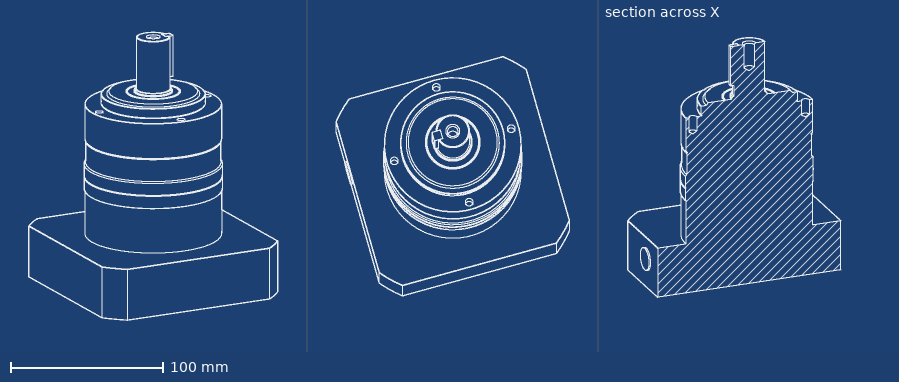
import cadquery as cq
import math

TOTAL_HEIGHT = 170.0
PLATE_TOP = 35.0
COLLAR_BOTTOM = 65.8
COLLAR_GROOVE = 74.5
COLLAR_TOP = 83.0
RING_BOTTOM = 84.0
RING_TOP = 99.0
HEAD_BOTTOM = 100.0
HEAD_TOP = 124.0
PILOT_TOP = 130.9
CAP_TOP = 132.6
SEAL_LIP_TOP = 134.5

PLATE_SIDE = 130.0
PLATE_CORNER_RADIUS = 83.6
PLATE_CHAMFER = 0.25

BODY_RADIUS = 45.0
COLLAR_RADIUS = 45.5
RING_RADIUS = 44.5
PILOT_RADIUS = 34.3
CAP_RADIUS = 30.6
CAP_TOP_RADIUS = 29.2
HEAD_CHAMFER = 0.25
HEAD_GROOVE_RADIUS = 44.0
COLLAR_CHAMFER = 0.3
COLLAR_GROOVE_DEPTH = 0.3
PILOT_CHAMFER = 0.3
PILOT_RELIEF = 0.5

SEAL_GROOVE_OUTER = 18.0
SEAL_GROOVE_INNER = 17.0
SEAL_GROOVE_DEPTH = 0.5
LIP_BASE_RADIUS = 12.8
LIP_BASE_HEIGHT = 0.7
LIP_BOTTOM_RADIUS = 12.2
LIP_TOP_RADIUS = 12.0

SHAFT_RADIUS = 11.0
SHAFT_CHAMFER_WIDTH = 0.7
SHAFT_CHAMFER_HEIGHT = 0.25
KEY_WIDTH = 6.0
KEY_OUTER = 13.5
KEY_INNER = 7.6
KEY_BOTTOM = 142.0
KEY_END_GAP = 0.2
KEY_CHAMFER = 0.3
CENTRE_HOLE_RADIUS = 3.4
CENTRE_SINK_RADIUS = 4.6
CENTRE_HOLE_DEPTH = 17.0

MOUNT_HOLE_COUNT = 4
MOUNT_HOLE_RADIUS = 2.5
MOUNT_CIRCLE_RADIUS = 40.0
MOUNT_HOLE_DEPTH = 10.2

PLUG_RADIUS = 7.6
PLUG_X = 20.0
PLUG_Z = 19.9
PLUG_PROTRUSION = 1.0

DRILL_HALF_ANGLE = math.radians(59)


def flange():
    """Square plate whose corners are turned to a round about the axis."""
    square = cq.Workplane("XY").rect(PLATE_SIDE, PLATE_SIDE).extrude(PLATE_TOP)
    turned = cq.Workplane("XY").circle(PLATE_CORNER_RADIUS).extrude(PLATE_TOP)
    return square.intersect(turned).faces(">Z").edges().chamfer(PLATE_CHAMFER)


def housing():
    """Turned housing, pilot, cap, seal and shaft as one revolved outline."""
    seal_groove_middle = (SEAL_GROOVE_OUTER + SEAL_GROOVE_INNER) / 2
    outline = [
        (0, 0),
        (BODY_RADIUS, 0),
        (BODY_RADIUS, COLLAR_BOTTOM - COLLAR_CHAMFER),
        (COLLAR_RADIUS, COLLAR_BOTTOM),
        (COLLAR_RADIUS, COLLAR_GROOVE - COLLAR_GROOVE_DEPTH),
        (COLLAR_RADIUS - COLLAR_GROOVE_DEPTH, COLLAR_GROOVE),
        (COLLAR_RADIUS, COLLAR_GROOVE + COLLAR_GROOVE_DEPTH),
        (COLLAR_RADIUS, COLLAR_TOP),
        (RING_RADIUS, RING_BOTTOM),
        (RING_RADIUS, RING_TOP),
        (HEAD_GROOVE_RADIUS, (RING_TOP + HEAD_BOTTOM) / 2),
        (BODY_RADIUS, HEAD_BOTTOM),
        (BODY_RADIUS, HEAD_TOP - HEAD_CHAMFER),
        (BODY_RADIUS - HEAD_CHAMFER, HEAD_TOP),
        (PILOT_RADIUS - PILOT_RELIEF, HEAD_TOP),
        (PILOT_RADIUS - PILOT_RELIEF, HEAD_TOP + PILOT_RELIEF),
        (PILOT_RADIUS, HEAD_TOP + PILOT_RELIEF),
        (PILOT_RADIUS, PILOT_TOP - PILOT_CHAMFER),
        (PILOT_RADIUS - PILOT_CHAMFER, PILOT_TOP),
        (CAP_RADIUS, PILOT_TOP),
        (CAP_TOP_RADIUS, CAP_TOP),
        (SEAL_GROOVE_OUTER, CAP_TOP),
        (seal_groove_middle, CAP_TOP - SEAL_GROOVE_DEPTH),
        (SEAL_GROOVE_INNER, CAP_TOP),
        (LIP_BASE_RADIUS, CAP_TOP),
        (LIP_BASE_RADIUS, CAP_TOP + LIP_BASE_HEIGHT),
        (LIP_BOTTOM_RADIUS, CAP_TOP + LIP_BASE_HEIGHT),
        (LIP_TOP_RADIUS, SEAL_LIP_TOP),
        (SHAFT_RADIUS, SEAL_LIP_TOP),
        (SHAFT_RADIUS, TOTAL_HEIGHT - SHAFT_CHAMFER_HEIGHT),
        (SHAFT_RADIUS - SHAFT_CHAMFER_WIDTH, TOTAL_HEIGHT),
        (0, TOTAL_HEIGHT),
    ]
    return cq.Workplane("XZ").polyline(outline).close().revolve(360, (0, 0, 0), (0, 1, 0))


def key_block():
    """Rectangular block filling the keyway on the +Y side, up to the shaft end."""
    length = TOTAL_HEIGHT - KEY_BOTTOM
    block = cq.Workplane("XY").box(
        KEY_WIDTH, KEY_OUTER - KEY_INNER, length, centered=(True, False, False)
    )
    return block.translate((0, KEY_INNER, KEY_BOTTOM))


def shaft_key():
    """Parallel key with broken outer edges, set just below the shaft end."""
    key = key_block().translate((0, 0, -KEY_END_GAP))
    return key.faces(">Y").edges("|Z or <Z").chamfer(KEY_CHAMFER)


def drilled_hole(radius, depth):
    """Blind hole downwards from the origin, ending in a drill point."""
    outline = [
        (0, 0),
        (radius, 0),
        (radius, -depth),
        (0, -depth - radius / math.tan(DRILL_HALF_ANGLE)),
    ]
    return cq.Workplane("XZ").polyline(outline).close().revolve(360, (0, 0, 0), (0, 1, 0))


def countersink():
    """45 degree conical mouth of the shaft's centre hole, opening at the origin."""
    outline = [(0, 0), (CENTRE_SINK_RADIUS, 0), (0, -CENTRE_SINK_RADIUS)]
    return cq.Workplane("XZ").polyline(outline).close().revolve(360, (0, 0, 0), (0, 1, 0))


def plug():
    """Round plug standing slightly proud of the +Y face of the flange."""
    face = cq.Workplane("XZ", origin=(PLUG_X, PLATE_SIDE / 2, PLUG_Z))
    return face.circle(PLUG_RADIUS).extrude(-PLUG_PROTRUSION)


result = flange().union(housing()).cut(key_block()).union(shaft_key()).union(plug())

centre_hole = drilled_hole(CENTRE_HOLE_RADIUS, CENTRE_HOLE_DEPTH).union(countersink())
result = result.cut(centre_hole.translate((0, 0, TOTAL_HEIGHT)))

mount_hole = drilled_hole(MOUNT_HOLE_RADIUS, MOUNT_HOLE_DEPTH)
mount_hole = mount_hole.translate((MOUNT_CIRCLE_RADIUS, 0, HEAD_TOP))
for index in range(MOUNT_HOLE_COUNT):
    angle = index * 360 / MOUNT_HOLE_COUNT
    result = result.cut(mount_hole.rotate((0, 0, 0), (0, 0, 1), angle))